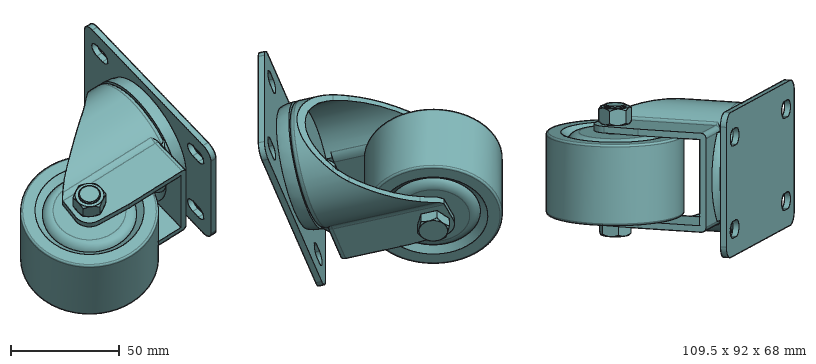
import cadquery as cq
import math


overall_height = 92.0

plate_length = 95.0
plate_width = 68.0
plate_thickness = 3.0
plate_corner_radius = 5.9
slot_length = 12.0
slot_width = 7.9
slot_spacing_x = 72.0
slot_spacing_z = 43.1
collar_height = 6.4
collar_bulge = 1.2

fork_radius = 30.0
sheet = 3.1
fork_edge_radius = 2.4
leg_outer_z = 23.2
leg_end_x = 41.0
leg_step = 3.0
bend_radius = 5.5
cut_start_y = -13.2
cut_knee = (-16.5, -26.4)
cut_steep_start = (-11.0, -32.3)
cut_steep_end = (11.5, -59.7)
leg_heel = (20.4, -68.4)
leg_toe_start = (31.5, -69.4)
leg_toe_end = (39.9, -62.2)
leg_taper_y = -45.4
flare_radius = 29.8
flare_spread = 3.0
flare_hollow = 0.2

axle_x = 30.2
wheel_radius = 31.8
axle_y = wheel_radius - overall_height
wheel_width = 38.0
wheel_edge_radius = 1.0
recess_radius = 25.1
recess_floor_radius = 21.7
hub_face_radius = 16.8
recess_depth = 2.8

shank_radius = 5.0
tip_chamfer = 0.4
hex_flats = 13.4
hex_chamfer_radial = 1.1
hex_chamfer_axial = 1.0
head_height = 5.7
nut_height = 7.8
tip_projection = 1.0
seat_radius = 5.9
seat_end_radius = 5.3

fork_top_y = -(plate_thickness + collar_height)
web_top_y = fork_top_y - leg_step
fork_depth = overall_height + fork_top_y
leg_inner_z = leg_outer_z - sheet
hex_corner_radius = hex_flats / math.sqrt(3)


def slotted_plate():
    """Rounded rectangular plate with four mounting slots."""
    plate = (
        cq.Workplane("XZ")
        .rect(plate_length, plate_width)
        .extrude(plate_thickness)
        .edges("|Y")
        .fillet(plate_corner_radius)
    )
    slots = (
        cq.Workplane("XZ")
        .rarray(slot_spacing_x, slot_spacing_z, 2, 2)
        .slot2D(slot_length, slot_width)
        .extrude(plate_thickness)
    )
    return plate.cut(slots)


def swivel_collar():
    """Collar whose bulged side stands square on its lower rim."""
    bulge_radius = (collar_height**2 + collar_bulge**2) / (2 * collar_bulge)
    half_height = collar_height / 2
    mid_radius = fork_radius - bulge_radius + math.sqrt(bulge_radius**2 - half_height**2)
    return (
        cq.Workplane("XY")
        .moveTo(0, -plate_thickness)
        .lineTo(0, fork_top_y)
        .lineTo(fork_radius, fork_top_y)
        .threePointArc(
            (mid_radius, fork_top_y + half_height),
            (fork_radius - collar_bulge, -plate_thickness),
        )
        .close()
        .revolve(360, (0, 0, 0), (0, 1, 0))
    )


def fork_outline(wall_radius, leg_z, bend, top_y):
    """Keyhole prism: round wall blending through two bends into parallel legs."""
    center_z = leg_z + bend
    center_x = math.sqrt((wall_radius + bend) ** 2 - center_z**2)
    on_wall = wall_radius / (wall_radius + bend)
    wall_x = center_x * on_wall
    wall_z = center_z * on_wall
    half_angle = (math.pi / 2 - math.atan2(center_z, center_x)) / 2
    mid_x = center_x - bend * math.sin(half_angle)
    mid_z = center_z - bend * math.cos(half_angle)
    return (
        cq.Workplane("XZ", origin=(0, top_y, 0))
        .moveTo(leg_end_x, leg_z)
        .lineTo(center_x, leg_z)
        .threePointArc((mid_x, mid_z), (wall_x, wall_z))
        .threePointArc((-wall_radius, 0), (wall_x, -wall_z))
        .threePointArc((mid_x, -mid_z), (center_x, -leg_z))
        .lineTo(leg_end_x, -leg_z)
        .close()
        .extrude(fork_depth)
    )


def flare(top_radius, top_y, half_width):
    """Conical step on the leg side, from a disc down to the web between the legs."""
    mid_radius = top_radius + flare_spread / 2 - flare_hollow
    mid_y = top_y - leg_step / 2 - flare_hollow
    cone = (
        cq.Workplane("XY")
        .moveTo(0, top_y)
        .lineTo(top_radius, top_y)
        .threePointArc(
            (mid_radius, mid_y),
            (top_radius + flare_spread, top_y - leg_step),
        )
        .lineTo(0, top_y - leg_step)
        .close()
        .revolve(360, (0, 0, 0), (0, 1, 0))
    )
    leg_side = cq.Workplane("XY").box(
        leg_end_x, fork_depth, 2 * half_width, centered=(False, True, True)
    )
    return cone.intersect(leg_side)


def fork_side_profile():
    """Side silhouette of the fork: sloping cut on one side, rounded leg ends."""
    return (
        cq.Workplane("XY")
        .moveTo(-fork_radius, 0)
        .lineTo(-fork_radius, cut_start_y)
        .lineTo(*cut_knee)
        .tangentArcPoint(cut_steep_start, relative=False)
        .lineTo(*cut_steep_end)
        .tangentArcPoint(leg_heel, relative=False)
        .lineTo(*leg_toe_start)
        .tangentArcPoint(leg_toe_end, relative=False)
        .lineTo(leg_end_x, leg_taper_y)
        .lineTo(leg_end_x, 0)
        .close()
        .extrude(fork_radius, both=True)
    )


def fork_body():
    """Pressed fork: swivel disc, round wall, stepped web and two legs."""
    disc = (
        cq.Workplane("XZ", origin=(0, fork_top_y, 0))
        .circle(fork_radius)
        .extrude(2 * leg_step)
        .faces(">Y")
        .edges()
        .fillet(fork_edge_radius)
    )
    shell = fork_outline(fork_radius, leg_outer_z, bend_radius, web_top_y)
    shell = shell.faces(">Y").edges("|X").fillet(fork_edge_radius)
    step = flare(flare_radius, fork_top_y, leg_outer_z - fork_edge_radius)
    outside = shell.union(disc).union(step)

    inner_radius = fork_radius - sheet
    inner_top_y = fork_top_y - sheet
    cavity = fork_outline(inner_radius, leg_inner_z, bend_radius + sheet, inner_top_y - leg_step)
    recess = cq.Workplane("XZ", origin=(0, inner_top_y, 0)).circle(inner_radius).extrude(leg_step)
    cavity = cavity.union(recess).union(flare(inner_radius, inner_top_y, leg_inner_z))

    bolt_hole = axle_cylinder(shank_radius, -leg_outer_z, 0)
    seat_hole = axle_cylinder(seat_radius, 0, leg_outer_z)
    return outside.cut(cavity).intersect(fork_side_profile()).cut(bolt_hole).cut(seat_hole)


def axle_cylinder(radius, start_z, end_z):
    """Cylinder on the wheel axle."""
    return (
        cq.Workplane("XY", origin=(axle_x, axle_y, start_z))
        .circle(radius)
        .extrude(end_z - start_z)
    )


def wheel_body():
    """Wheel with a recess and a rounded hub on each face, and a bore for the bolt."""
    half_width = wheel_width / 2
    floor_z = half_width - recess_depth
    rounding_width = recess_floor_radius - hub_face_radius
    half_turn = math.atan2(recess_depth, rounding_width)
    rounding_radius = rounding_width / math.sin(2 * half_turn)
    mid_radius = hub_face_radius + rounding_radius * math.sin(half_turn)
    mid_z = half_width - rounding_radius * (1 - math.cos(half_turn))
    blank = axle_cylinder(wheel_radius, -half_width, half_width)
    blank = blank.faces("<Z or >Z").edges().fillet(wheel_edge_radius)
    recess = (
        cq.Workplane("XZ")
        .moveTo(hub_face_radius, half_width)
        .threePointArc((mid_radius, mid_z), (recess_floor_radius, floor_z))
        .lineTo(recess_radius, half_width)
        .close()
        .revolve(360, (0, 0, 0), (0, 1, 0))
        .translate((axle_x, axle_y, 0))
    )
    bore = axle_cylinder(shank_radius, -half_width, half_width)
    return blank.cut(recess).cut(recess.mirror("XY")).cut(bore)


def hexagon(start_z, height, corner_angle, chamfer_start, chamfer_end):
    """Hexagonal prism on the axle with conically chamfered corners at the chosen ends."""
    prism = (
        cq.Workplane("XY")
        .polygon(6, 2 * hex_corner_radius)
        .extrude(height)
        .rotate((0, 0, 0), (0, 0, 1), corner_angle)
    )
    face_radius = hex_corner_radius - hex_chamfer_radial
    start_radius = face_radius if chamfer_start else hex_corner_radius
    end_radius = face_radius if chamfer_end else hex_corner_radius
    envelope = (
        cq.Workplane("XZ")
        .polyline([
            (0, 0),
            (start_radius, 0),
            (hex_corner_radius, hex_chamfer_axial),
            (hex_corner_radius, height - hex_chamfer_axial),
            (end_radius, height),
            (0, height),
        ])
        .close()
        .revolve(360, (0, 0, 0), (0, 1, 0))
    )
    return prism.intersect(envelope).translate((axle_x, axle_y, start_z))


def bolt_body():
    """Axle bolt: hexagonal head below, chamfered tip standing out of the nut."""
    head_z = -leg_outer_z - head_height
    tip_z = leg_outer_z + nut_height + tip_projection
    head = hexagon(head_z, head_height, 90, True, False)
    shank = axle_cylinder(shank_radius, -leg_outer_z, tip_z).faces(">Z").chamfer(tip_chamfer)
    return head.union(shank)


def nut_body():
    """Chamfered hexagonal nut with a seat through the upper leg that tapers to the wheel."""
    wheel_face_z = wheel_width / 2
    top_z = leg_outer_z + nut_height
    hexagonal = hexagon(leg_outer_z, nut_height, 0, True, True)
    seat = axle_cylinder(seat_radius, leg_inner_z, leg_outer_z)
    taper = (
        cq.Workplane("XY", origin=(axle_x, axle_y, wheel_face_z))
        .circle(seat_end_radius)
        .workplane(offset=leg_inner_z - wheel_face_z)
        .circle(seat_radius)
        .loft()
    )
    bore = axle_cylinder(shank_radius, wheel_face_z, top_z)
    return hexagonal.union(seat).union(taper).cut(bore)


mounting_plate = slotted_plate().union(swivel_collar())
fork = fork_body()
wheel = wheel_body()
bolt = bolt_body()
nut = nut_body()

result = cq.Compound.makeCompound([
    mounting_plate.val(),
    fork.val(),
    wheel.val(),
    bolt.val(),
    nut.val(),
])